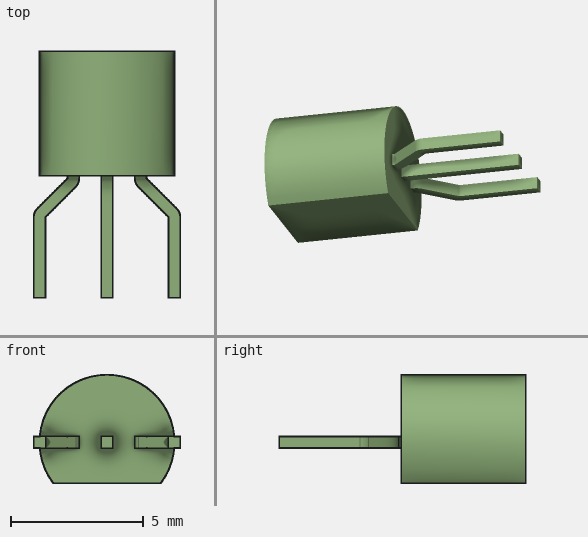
import cadquery as cq
import math

body_radius = 2.55
body_length = 4.7
flat_depth = 1.55

lead_width = 0.45
lead_length = 4.6
exit_pitch = 1.27
tip_pitch = 2.54
exit_stub = 0.1
bend_angle = math.radians(45)
half_width = lead_width / 2


def make_body():
    half_flat = math.sqrt(body_radius**2 - flat_depth**2)
    return (
        cq.Workplane("XZ")
        .moveTo(-half_flat, -flat_depth)
        .threePointArc((0, body_radius), (half_flat, -flat_depth))
        .close()
        .extrude(-body_length)
    )


def make_straight_lead():
    return (
        cq.Workplane("XY")
        .center(0, -lead_length / 2)
        .rect(lead_width, lead_length)
        .extrude(half_width, both=True)
    )


def make_bent_lead():
    """Lead on the +X side, with two opposite bends around sharp inner corners."""
    upper_x = exit_pitch + half_width
    upper_y = -exit_stub
    lower_x = tip_pitch - half_width
    drop = (lead_width + (lower_x - upper_x) * math.cos(bend_angle)) / math.sin(bend_angle)
    lower_y = upper_y - drop

    end_x = lead_width * math.cos(bend_angle)
    end_y = lead_width * math.sin(bend_angle)
    mid_x = lead_width * math.cos(bend_angle / 2)
    mid_y = lead_width * math.sin(bend_angle / 2)

    return (
        cq.Workplane("XY")
        .moveTo(upper_x, 0)
        .lineTo(upper_x, upper_y)
        .lineTo(lower_x + end_x, lower_y + end_y)
        .threePointArc(
            (lower_x + mid_x, lower_y + mid_y),
            (lower_x + lead_width, lower_y),
        )
        .lineTo(lower_x + lead_width, -lead_length)
        .lineTo(lower_x, -lead_length)
        .lineTo(lower_x, lower_y)
        .lineTo(upper_x - end_x, upper_y - end_y)
        .threePointArc(
            (upper_x - mid_x, upper_y - mid_y),
            (upper_x - lead_width, upper_y),
        )
        .lineTo(upper_x - lead_width, 0)
        .close()
        .extrude(half_width, both=True)
    )


right_lead = make_bent_lead()
left_lead = right_lead.mirror("YZ")

result = make_body().union(make_straight_lead()).union(right_lead).union(left_lead)